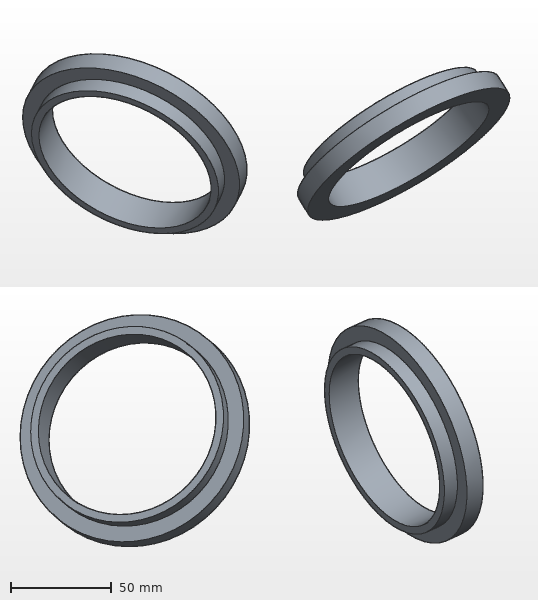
import cadquery as cq

flange_diameter = 116.0
flange_thickness = 10.0
spigot_diameter = 100.0
spigot_length = 8.0
bore_diameter = 92.0

flange_radius = flange_diameter / 2
spigot_radius = spigot_diameter / 2
bore_radius = bore_diameter / 2


def stepped_section():
    """L-shaped wall section on the -X side, with the shoulder between flange and spigot at Y = 0."""
    return (
        cq.Workplane("XY")
        .moveTo(-bore_radius, -spigot_length)
        .lineTo(-spigot_radius, -spigot_length)
        .lineTo(-spigot_radius, 0)
        .lineTo(-flange_radius, 0)
        .lineTo(-flange_radius, flange_thickness)
        .lineTo(-bore_radius, flange_thickness)
        .close()
    )


full_turn = 360
axis_start = (0, 0, 0)
axis_end = (0, 1, 0)

result = stepped_section().revolve(full_turn, axis_start, axis_end)